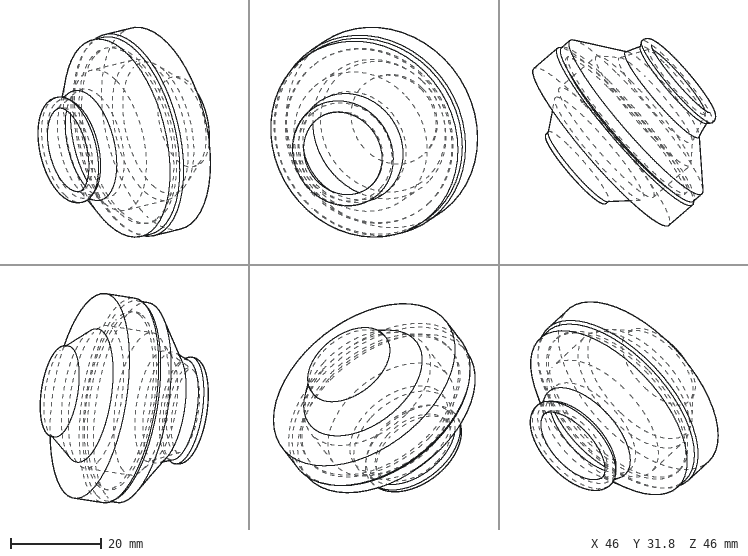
import cadquery as cq

total_length = 31.8

lip_tube_radius = 1.25
lip_radius = 12.0
lip_land_end_y = 1.5

throat_radius = 11.25
throat_y = 2.55
neck_radius = 12.5
neck_y = 6.0
shoulder_radius = 22.5
shoulder_y = 13.7

groove_radius = 20.0
groove_start_y = 16.25
groove_end_y = 16.95
rim_radius = 23.0
rim_end_y = 23.95

back_face_radius = 15.0
back_face_y = 24.55
spigot_radius = 10.2
spigot_y = 30.75
spigot_edge_radius = 0.4

floor_setback = 1.5
mouth_radius = lip_radius - 2 * lip_tube_radius
inner_neck_radius = 12.4
inner_neck_y = 7.95
chamber_radius = 16.0
chamber_y = 11.55
floor_y = rim_end_y - floor_setback


def half_section():
    """Closed radial half section in the XY plane, X being the radius."""
    lip_center_radius = lip_radius - lip_tube_radius
    return (
        cq.Workplane("XY")
        .moveTo(0, floor_y)
        .lineTo(chamber_radius, floor_y)
        .lineTo(chamber_radius, chamber_y)
        .lineTo(inner_neck_radius, inner_neck_y)
        .lineTo(mouth_radius, lip_land_end_y)
        .lineTo(mouth_radius, lip_tube_radius)
        .threePointArc((lip_center_radius, 0), (lip_radius, lip_tube_radius))
        .lineTo(lip_radius, lip_land_end_y)
        .lineTo(throat_radius, throat_y)
        .lineTo(neck_radius, neck_y)
        .lineTo(shoulder_radius, shoulder_y)
        .lineTo(shoulder_radius, groove_start_y)
        .lineTo(groove_radius, groove_start_y)
        .lineTo(groove_radius, groove_end_y)
        .lineTo(rim_radius, groove_end_y)
        .lineTo(rim_radius, rim_end_y)
        .lineTo(back_face_radius, back_face_y)
        .lineTo(spigot_radius, spigot_y)
        .lineTo(spigot_radius, total_length - spigot_edge_radius)
        .radiusArc((spigot_radius - spigot_edge_radius, total_length), -spigot_edge_radius)
        .lineTo(0, total_length)
        .close()
    )


body = half_section().revolve(360, (0, 0, 0), (0, 1, 0))

result = body.translate((0, -total_length / 2, 0))